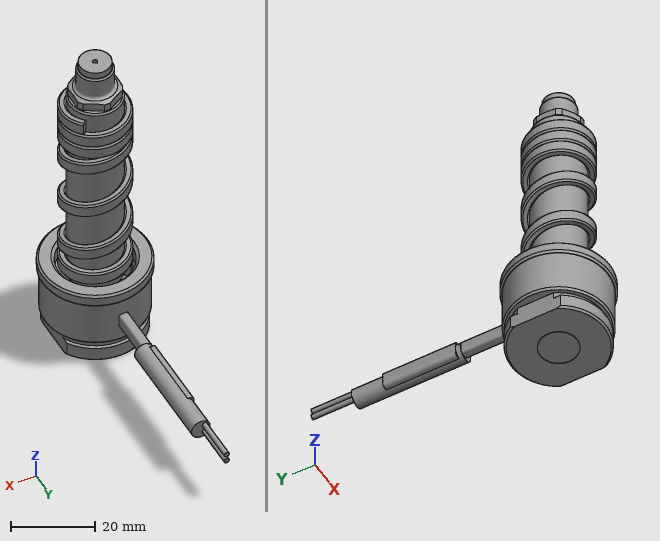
import cadquery as cq
import math

foot_radius = 13.0
foot_top = 4.3
foot_chamfer = 0.5
button_radius = 5.1
button_height = 0.2
neck_radius = 12.1
flat_half_width = 11.0
housing_bottom = 6.2
housing_radius = 13.45
housing_chamfer_height = 0.6
housing_chamfer_depth = 0.4
collar_diameter = 28.0
collar_radius = collar_diameter / 2
collar_bottom = 18.8
collar_top = 22.2
collar_chamfer = 0.5
recess_mouth_radius = 10.5
recess_radius = 9.7
recess_depth = 4.3
recess_floor = collar_top - recess_depth

stem_radius = 7.0
stem_top = 75.3
stem_chamfer = 0.4
hex_waist_radius = 5.35
hex_side_count = 6
hex_bottom = 75.7
hex_top = 78.3
hex_flat_distance = 6.0
hex_corner_radius = 6.55
hex_chamfer_height = 0.5
tip_diameter = 9.2
tip_radius = tip_diameter / 2
tip_top = 84.4
tip_chamfer = 0.4
tip_fillet = 0.8
hex_top_rim_radius = tip_radius + tip_fillet
nose_radius = 4.05
nose_top = 86.2
nose_hole_radius = 0.6
nose_hole_depth = 1.7

thread_radius = 9.0
thread_width = 3.7
thread_edge_chamfer = 0.4
thread_root_overlap = 0.2
thread_root_radius = stem_radius - thread_root_overlap
close_lead = 3.8
open_lead = 14.0
thread_start_turn = 0.375
opening_turn = 1.71
closing_turn = 4.28
thread_end_turn = 7.125
lead_blend_turns = 0.42
thread_start_height = 20.0
points_per_turn = 24

housing_overlap = 0.9
cable_height = 12.6
cable_center_x = -0.8
cable_width = 2.6
cable_depth = 3.9
cable_fillet = 0.65
sleeve_radius = 2.5
sleeve_start = 25.6
sleeve_end = 55.5
pad_start = 26.9
pad_end = 46.9
pad_outer_x = -2.6
pad_depth = 4.7
pad_fillet = 1.0
wire_radius = 0.7
wire_spacing = 2.0
wire_center_x = -1.0
overall_length_y = 81.0
wire_end = overall_length_y - collar_radius


def disc(radius, bottom, top):
    return cq.Workplane("XY").workplane(offset=bottom).circle(radius).extrude(top - bottom)


def revolved(points):
    """Solid turned about Z from (radius, height) points."""
    return cq.Workplane("XZ").polyline(points).close().revolve(360, (0, 0), (0, 1))


def make_base():
    """Foot with two wrench flats, then the housing with its collar and recess."""
    foot = disc(foot_radius, button_height, foot_top).faces("<Z").chamfer(foot_chamfer)
    foot = foot.union(disc(neck_radius, foot_top, housing_bottom))
    flats = cq.Workplane("XY").rect(2 * flat_half_width, 2 * foot_radius).extrude(housing_bottom)
    foot = foot.intersect(flats).union(disc(button_radius, 0, button_height))

    housing_points = [
        (0, housing_bottom),
        (housing_radius - housing_chamfer_depth, housing_bottom),
        (housing_radius, housing_bottom + housing_chamfer_height),
        (housing_radius, collar_bottom),
        (collar_radius - housing_chamfer_depth, collar_bottom),
        (collar_radius, collar_bottom + housing_chamfer_height),
        (collar_radius, collar_top - collar_chamfer),
        (collar_radius - collar_chamfer, collar_top),
        (recess_mouth_radius, collar_top),
        (recess_radius, collar_top - (recess_mouth_radius - recess_radius)),
        (recess_radius, recess_floor),
        (0, recess_floor),
    ]
    return foot.union(revolved(housing_points))


def make_stem():
    """Long stem, hexagon and the stepped tip with its centre hole."""
    stem = disc(stem_radius, recess_floor, stem_top).faces(">Z").chamfer(stem_chamfer)
    waist = disc(hex_waist_radius, stem_top, hex_bottom)
    tip = disc(tip_radius, hex_top, tip_top).faces(">Z").chamfer(tip_chamfer)
    nose = disc(nose_radius, tip_top, nose_top).faces(">Z").workplane()
    nose = nose.circle(nose_hole_radius).cutBlind(-nose_hole_depth)
    root = (
        cq.Workplane("XZ")
        .moveTo(tip_radius, hex_top)
        .lineTo(tip_radius + tip_fillet, hex_top)
        .radiusArc((tip_radius, hex_top + tip_fillet), tip_fillet)
        .close()
        .revolve(360, (0, 0), (0, 1))
    )
    return stem.union(waist).union(make_hexagon()).union(tip).union(root).union(nose)


def make_hexagon():
    """Hexagon with flats facing +X and -X, rounded corners and a conical top edge."""
    half_side_angle = 180 / hex_side_count
    corner_distance = hex_flat_distance / math.cos(math.radians(half_side_angle))
    hexagon = (
        cq.Workplane("XY")
        .workplane(offset=hex_bottom)
        .transformed(rotate=(0, 0, half_side_angle))
        .polygon(hex_side_count, 2 * corner_distance)
        .extrude(hex_top - hex_bottom)
    )
    envelope_points = [
        (0, hex_bottom),
        (hex_corner_radius, hex_bottom),
        (hex_corner_radius, hex_top - hex_chamfer_height),
        (hex_top_rim_radius, hex_top),
        (0, hex_top),
    ]
    return hexagon.intersect(revolved(envelope_points))


def softened_ramp(turns):
    """Zero below zero and equal to the input above it, with a parabolic blend between."""
    half_blend = lead_blend_turns / 2
    if turns < -half_blend:
        return 0.0
    if turns > half_blend:
        return turns
    return (turns + half_blend) ** 2 / (2 * lead_blend_turns)


def thread_height_at(turn):
    """Height of the thread's middle: close turns, then open turns, then close turns."""
    open_turns = softened_ramp(turn - opening_turn) - softened_ramp(turn - closing_turn)
    close_rise = close_lead * (turn - thread_start_turn)
    return thread_start_height + close_rise + (open_lead - close_lead) * open_turns


def thread_edge(radius, offset):
    """Helical edge at a given radius and height offset from the middle of the thread."""
    turn_count = thread_end_turn - thread_start_turn
    step_count = math.ceil(turn_count * points_per_turn)
    points = []
    for step in range(step_count + 1):
        turn = thread_start_turn + turn_count * step / step_count
        angle = 2 * math.pi * turn
        height = thread_height_at(turn) + offset
        points.append(cq.Vector(radius * math.cos(angle), radius * math.sin(angle), height))
    return cq.Edge.makeSpline(points)


def make_thread():
    """Solid bounded by ruled faces between neighbouring helical edges, and two flat ends."""
    half_width = thread_width / 2
    shoulder_radius = thread_radius - thread_edge_chamfer
    land_half_width = half_width - thread_edge_chamfer
    root_half_width = land_half_width - thread_root_overlap
    profile = [
        (thread_root_radius, -root_half_width),
        (stem_radius + thread_edge_chamfer, -half_width),
        (shoulder_radius, -half_width),
        (thread_radius, -land_half_width),
        (thread_radius, land_half_width),
        (shoulder_radius, half_width),
        (stem_radius + thread_edge_chamfer, half_width),
        (thread_root_radius, root_half_width),
    ]
    edges = [thread_edge(radius, offset) for radius, offset in profile]
    faces = [cq.Face.makeRuledSurface(edges[i - 1], edges[i]) for i in range(len(edges))]
    for end in (0, 1):
        corners = [edge.positionAt(end) for edge in edges]
        faces.append(cq.Face.makeFromWires(cq.Wire.makePolygon(corners, close=True)))
    return cq.Workplane(cq.Solid.makeSolid(cq.Shell.makeShell(faces)).fix())


def flat_bar(width, depth, fillet, center_x, start, end):
    """Bar along Y at cable height with rounded long edges."""
    block = cq.Workplane("XY").box(width, end - start, depth).edges("|Y").fillet(fillet)
    return block.translate((center_x, (start + end) / 2, cable_height))


def round_rod(radius, center_x, center_z, start, end):
    """Round rod along Y."""
    return cq.Workplane("XZ", origin=(center_x, start, center_z)).circle(radius).extrude(start - end)


def make_cable():
    """Flat cord, round sleeve with a flat pad on its -X side, and two bare wires."""
    cord_start = housing_radius - housing_overlap
    cord = flat_bar(cable_width, cable_depth, cable_fillet, cable_center_x, cord_start, sleeve_start)
    sleeve = round_rod(sleeve_radius, 0, cable_height, sleeve_start, sleeve_end)
    pad = flat_bar(-pad_outer_x, pad_depth, pad_fillet, pad_outer_x / 2, pad_start, pad_end)
    cable = cord.union(sleeve).union(pad)
    for side in (-1, 1):
        wire_height = cable_height + side * wire_spacing / 2
        cable = cable.union(round_rod(wire_radius, wire_center_x, wire_height, sleeve_end, wire_end))
    return cable


result = make_base().union(make_stem()).union(make_thread()).union(make_cable())